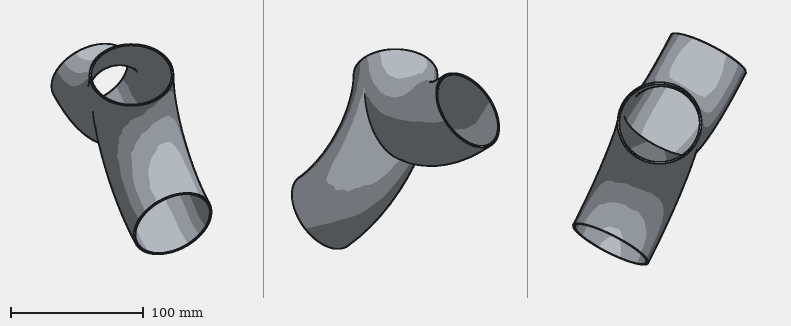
import cadquery as cq

overall_length = 165.0
tube_diameter = 63.5
wall = 1.5
bend_angle = 90.0

bend_radius = overall_length / 2
outer_radius = tube_diameter / 2
inner_radius = outer_radius - wall


def elbow(section_radius, side):
    """Solid bend down from the mouth at the origin to the end at X = side * bend_radius."""
    axis_start = (side * bend_radius, 0)
    axis_end = (side * bend_radius, -side)
    return (
        cq.Workplane("XY")
        .circle(section_radius)
        .revolve(bend_angle, axis_start, axis_end)
    )


def twin_elbow(section_radius):
    """Both bends joined, sharing the mouth."""
    return elbow(section_radius, -1).union(elbow(section_radius, 1))


result = twin_elbow(outer_radius).cut(twin_elbow(inner_radius))